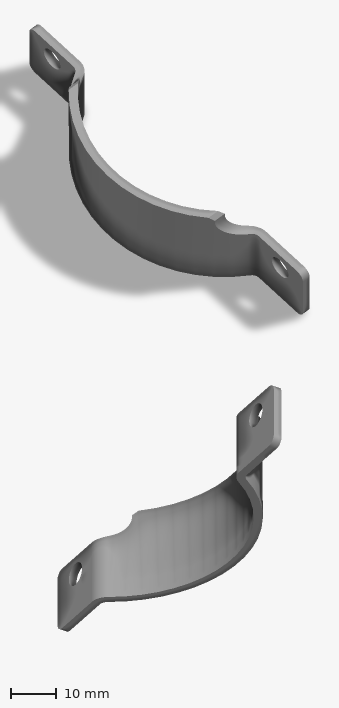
import cadquery as cq
import math

length = 90.0
depth = 19.0
thickness = 2.0
strap_height = 22.0
flange_height = 15.5

saddle_outer_radius = 34.0
bend_inner_radius = 2.0

notch_radius = 5.0
notch_wall_x = 24.0
shoulder_chamfer = 1.0
flange_corner_radius = 2.0

hole_diameter = 5.5
hole_end_distance = 7.5
hole_z = 11.0

half_length = length / 2
saddle_inner_radius = saddle_outer_radius - thickness
bend_outer_radius = bend_inner_radius + thickness
saddle_center_y = saddle_outer_radius - depth
bend_center_y = -thickness - bend_inner_radius
center_distance = saddle_outer_radius + bend_inner_radius
bend_angle = math.acos((saddle_center_y - bend_center_y) / center_distance)
bend_center_x = center_distance * math.sin(bend_angle)


def bend_point(radius, angle, side):
    """Point on a bend, at an angle from +Y toward the saddle; side is -1 or +1."""
    x = bend_center_x - radius * math.sin(angle)
    return (side * x, bend_center_y + radius * math.cos(angle))


def strap_section():
    """Plan outline of the strap: flange, bend, saddle, bend, flange."""
    half_angle = bend_angle / 2
    saddle_front = (0, saddle_center_y - saddle_outer_radius)
    saddle_back = (0, saddle_center_y - saddle_inner_radius)
    return (
        cq.Workplane("XY")
        .moveTo(-half_length, -thickness)
        .lineTo(*bend_point(bend_inner_radius, 0, -1))
        .threePointArc(
            bend_point(bend_inner_radius, half_angle, -1),
            bend_point(bend_inner_radius, bend_angle, -1),
        )
        .threePointArc(saddle_front, bend_point(bend_inner_radius, bend_angle, 1))
        .threePointArc(
            bend_point(bend_inner_radius, half_angle, 1),
            bend_point(bend_inner_radius, 0, 1),
        )
        .lineTo(half_length, -thickness)
        .lineTo(half_length, 0)
        .lineTo(*bend_point(bend_outer_radius, 0, 1))
        .threePointArc(
            bend_point(bend_outer_radius, half_angle, 1),
            bend_point(bend_outer_radius, bend_angle, 1),
        )
        .threePointArc(saddle_back, bend_point(bend_outer_radius, bend_angle, -1))
        .threePointArc(
            bend_point(bend_outer_radius, half_angle, -1),
            bend_point(bend_outer_radius, 0, -1),
        )
        .lineTo(-half_length, 0)
        .close()
    )


def corner_notch(side):
    """Cutter above one flange, with a concave corner and a chamfered saddle shoulder."""
    notch_center_x = notch_wall_x + notch_radius
    notch_center_z = flange_height + notch_radius
    diagonal = math.sqrt(0.5)
    notch_middle = (
        side * (notch_center_x - notch_radius * diagonal),
        notch_center_z - notch_radius * diagonal,
    )
    return (
        cq.Workplane("XZ")
        .moveTo(side * half_length, flange_height)
        .lineTo(side * notch_center_x, flange_height)
        .threePointArc(notch_middle, (side * notch_wall_x, notch_center_z))
        .lineTo(side * notch_wall_x, strap_height - shoulder_chamfer)
        .lineTo(side * (notch_wall_x - shoulder_chamfer), strap_height)
        .lineTo(side * half_length, strap_height)
        .close()
        .extrude(depth, both=True)
    )


def mounting_hole(side):
    """Cutter through one flange along Y."""
    return (
        cq.Workplane("XZ")
        .center(side * (half_length - hole_end_distance), hole_z)
        .circle(hole_diameter / 2)
        .extrude(depth, both=True)
    )


strap = strap_section().extrude(strap_height)
for end in (-1, 1):
    strap = strap.cut(corner_notch(end)).cut(mounting_hole(end))

for end_selector in ("<X", ">X"):
    strap = strap.faces(end_selector).edges("|Y").fillet(flange_corner_radius)

result = strap